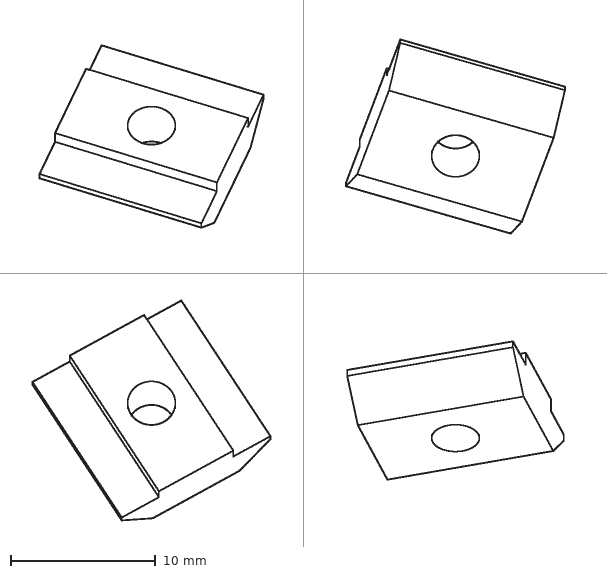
import cadquery as cq

length = 12.0
width = 12.0
height = 4.0

rail_width = 6.0
rail_height = 1.0
edge_height = 0.5
hole_diameter = 3.3

shoulder_z = height - rail_height
flank_top_z = shoulder_z - edge_height
half_width = width / 2
half_rail = rail_width / 2
half_base = half_width - flank_top_z

half_section = [
    (0, 0),
    (half_base, 0),
    (half_width, flank_top_z),
    (half_width, shoulder_z),
    (half_rail, shoulder_z),
    (half_rail, height),
    (0, height),
]

body = (
    cq.Workplane("YZ")
    .polyline(half_section)
    .mirrorY()
    .extrude(length / 2, both=True)
)

hole = cq.Workplane("XY").circle(hole_diameter / 2).extrude(height)

result = body.cut(hole)